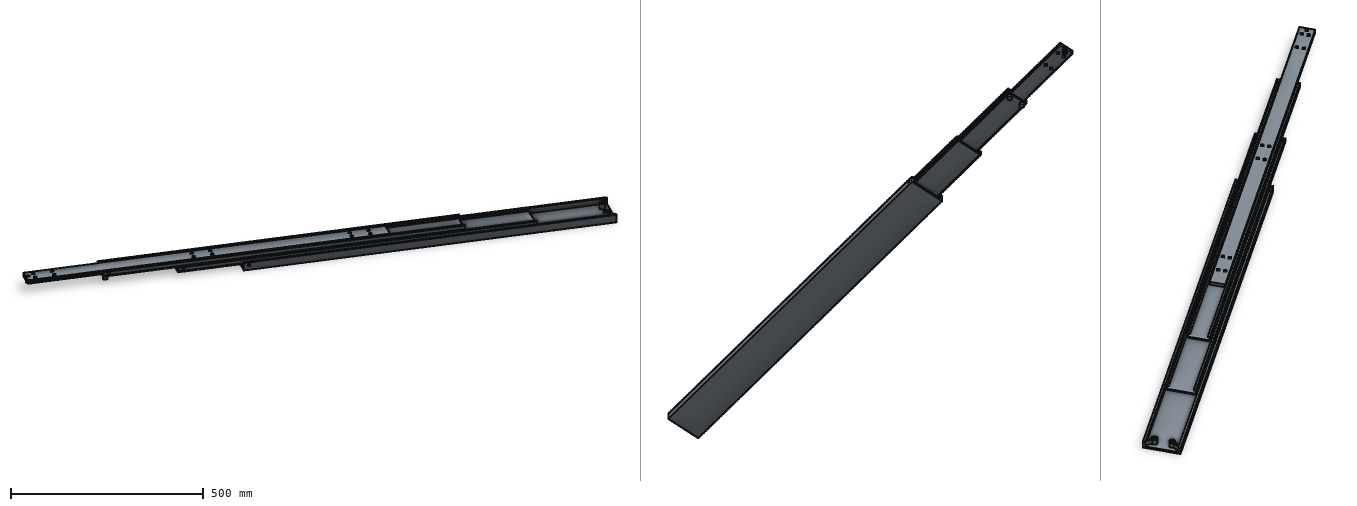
import cadquery as cq
import math

TOTAL_LENGTH = 1573.0
TOTAL_HEIGHT = 38.0

BASE_LENGTH = 1000.0
BASE_WIDTH = 100.0
BASE_HEIGHT = 22.0
BASE_WALL = 6.0
BASE_WEB = 6.0

POST_RADIUS = 8.0
POST_BORE_RADIUS = 4.0
POST_X = 24.0
POST_FROM_REAR = 19.0
ARM_THICKNESS = 5.0

CHANNEL_HEIGHT = 15.0
CHANNEL_WALL = 2.4
CHANNEL_FLANGE = 2.0
CHANNEL_WEB = 5.0
CHANNEL_CHAMFER = 5.0

LOWER_FRONT = 400.0
LOWER_LENGTH = 963.0
LOWER_BOTTOM = 11.8
LOWER_WIDTH = 82.0
LOWER_OPENING = 66.0

UPPER_FRONT = 201.0
UPPER_LENGTH = 970.0
UPPER_BOTTOM = TOTAL_HEIGHT - CHANNEL_HEIGHT
UPPER_WIDTH = 63.0
UPPER_OPENING = 47.0

INNER_LENGTH = 972.0
INNER_WIDTH = 42.0
INNER_THICKNESS = 11.0
GROOVE_DEPTH = 2.0
GROOVE_WIDTH = 5.0

FIXING_DIAMETER = 8.0
FIXING_HALF_SPACING_X = 10.0
FIXING_FIRST_Y = 24.0
FIXING_PAIR_PITCH = 50.0
FIXING_GROUP_PITCH = 425.0
FIXING_GROUPS = 3
FIXING_PAIRS_PER_GROUP = 2

STOP_RADIUS = 6.0
STOP_FROM_FRONT = 7.0
INNER_STOP_DROP = 6.0
INNER_STOP_HOLE_DIAMETER = 8.0
UPPER_STOP_DROP = 10.0
UPPER_STOP_X = 20.0

CROSS_HOLE_DIAMETER = 6.0
CROSS_HOLE_LENGTH = 2 * BASE_WIDTH
CROSS_HOLE_FROM_FRONT = 14.0
BASE_CROSS_HOLE_Z = 14.0


def extrude_along_y(outline, front, length):
    """Extrude a closed XZ outline backward from the plane Y = front."""
    return cq.Workplane("XZ", origin=(0, front, 0)).polyline(outline).close().extrude(-length)


def mirrored(left_half):
    """Complete a left-hand half outline by mirroring it about X = 0."""
    return left_half + [(-x, z) for x, z in reversed(left_half)]


def upright_cylinder(x, y, bottom, height, radius):
    return cq.Workplane("XY", origin=(x, y, bottom)).circle(radius).extrude(height)


def cross_hole(y, z):
    """A cutter that passes through both side walls along X."""
    drill = cq.Workplane("YZ", origin=(-CROSS_HOLE_LENGTH / 2, y, z))
    return drill.circle(CROSS_HOLE_DIAMETER / 2).extrude(CROSS_HOLE_LENGTH)


def corner_post(side):
    """A bored post and its diagonal arm in one rear corner (side is -1 or 1)."""
    post_y = TOTAL_LENGTH - POST_FROM_REAR
    height = BASE_HEIGHT - BASE_WEB
    post = upright_cylinder(side * POST_X, post_y, BASE_WEB, height, POST_RADIUS)
    bore = upright_cylinder(side * POST_X, post_y, BASE_WEB, height, POST_BORE_RADIUS)

    corner_x = BASE_WIDTH / 2 - BASE_WALL / 2
    corner_y = TOTAL_LENGTH - ARM_THICKNESS
    run_x = corner_x - POST_X
    run_y = corner_y - post_y
    arm = (
        cq.Workplane("XY")
        .box(math.hypot(run_x, run_y), ARM_THICKNESS, height, centered=(True, True, False))
        .rotate((0, 0, 0), (0, 0, 1), side * math.degrees(math.atan2(run_y, run_x)))
        .translate((side * (corner_x + POST_X) / 2, (corner_y + post_y) / 2, BASE_WEB))
    )
    return post.union(arm).cut(bore)


def make_base_rail():
    half = BASE_WIDTH / 2
    inside = half - BASE_WALL
    front = TOTAL_LENGTH - BASE_LENGTH
    outline = mirrored([(-half, 0), (-half, BASE_HEIGHT), (-inside, BASE_HEIGHT), (-inside, BASE_WEB)])
    rail = extrude_along_y(outline, front, BASE_LENGTH)
    rail = rail.cut(cross_hole(front + CROSS_HOLE_FROM_FRONT, BASE_CROSS_HOLE_Z))
    for side in (-1, 1):
        rail = rail.union(corner_post(side))
    return rail


def make_channel_rail(front, length, bottom, width, opening):
    """A C channel whose top flanges leave the given opening between them."""
    half = width / 2
    inside = half - CHANNEL_WALL
    top = bottom + CHANNEL_HEIGHT
    web_top = bottom + CHANNEL_WEB
    outline = mirrored([
        (-(half - CHANNEL_CHAMFER), bottom),
        (-half, bottom + CHANNEL_CHAMFER),
        (-half, top),
        (-opening / 2, top),
        (-opening / 2, top - CHANNEL_FLANGE),
        (-inside, top - CHANNEL_FLANGE),
        (-inside, web_top),
    ])
    rail = extrude_along_y(outline, front, length)
    wall_middle = (bottom + CHANNEL_CHAMFER + top) / 2
    return rail.cut(cross_hole(front + CROSS_HOLE_FROM_FRONT, wall_middle))


def make_lower_rail():
    return make_channel_rail(LOWER_FRONT, LOWER_LENGTH, LOWER_BOTTOM, LOWER_WIDTH, LOWER_OPENING)


def make_upper_rail():
    rail = make_channel_rail(UPPER_FRONT, UPPER_LENGTH, UPPER_BOTTOM, UPPER_WIDTH, UPPER_OPENING)
    pin_height = CHANNEL_WEB + UPPER_STOP_DROP
    for x in (-UPPER_STOP_X, UPPER_STOP_X):
        pin = upright_cylinder(
            x, UPPER_FRONT + STOP_FROM_FRONT, UPPER_BOTTOM - UPPER_STOP_DROP, pin_height, STOP_RADIUS
        )
        rail = rail.union(pin)
    return rail


def make_inner_rail():
    half = INNER_WIDTH / 2
    bottom = TOTAL_HEIGHT - INNER_THICKNESS
    middle = TOTAL_HEIGHT - INNER_THICKNESS / 2
    rail = extrude_along_y(
        mirrored([
            (-half, bottom),
            (-half, middle - GROOVE_WIDTH / 2),
            (-(half - GROOVE_DEPTH), middle),
            (-half, middle + GROOVE_WIDTH / 2),
            (-half, TOTAL_HEIGHT),
        ]),
        0,
        INNER_LENGTH,
    )

    stop_bottom = bottom - INNER_STOP_DROP
    stop_height = TOTAL_HEIGHT - stop_bottom
    rail = rail.union(upright_cylinder(0, STOP_FROM_FRONT, stop_bottom, stop_height, STOP_RADIUS))
    stop_hole_radius = INNER_STOP_HOLE_DIAMETER / 2
    rail = rail.cut(upright_cylinder(0, STOP_FROM_FRONT, stop_bottom, stop_height, stop_hole_radius))

    for group in range(FIXING_GROUPS):
        for pair in range(FIXING_PAIRS_PER_GROUP):
            y = FIXING_FIRST_Y + group * FIXING_GROUP_PITCH + pair * FIXING_PAIR_PITCH
            for x in (-FIXING_HALF_SPACING_X, FIXING_HALF_SPACING_X):
                hole = upright_cylinder(x, y, bottom, INNER_THICKNESS, FIXING_DIAMETER / 2)
                rail = rail.cut(hole)
    return rail


base_rail = make_base_rail()
lower_rail = make_lower_rail()
upper_rail = make_upper_rail()
inner_rail = make_inner_rail()

result = cq.Compound.makeCompound([
    base_rail.solids().val(),
    lower_rail.solids().val(),
    upper_rail.solids().val(),
    inner_rail.solids().val(),
])